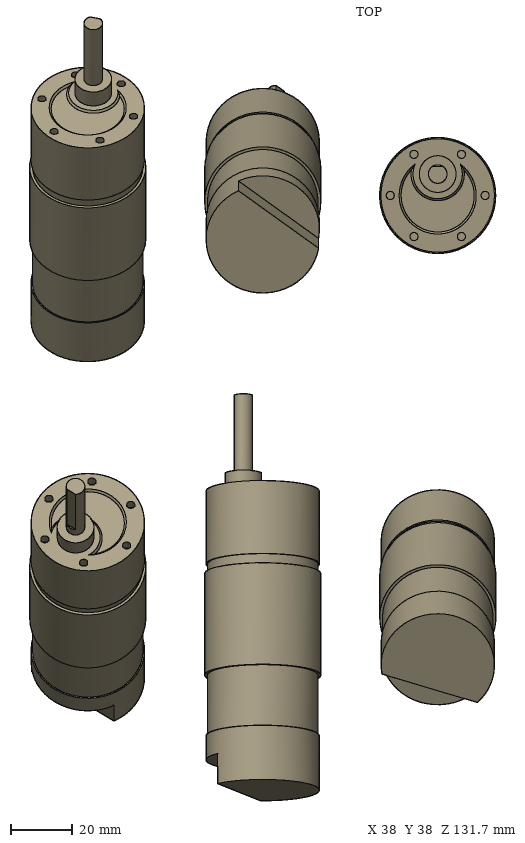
import cadquery as cq

TOTAL_HEIGHT = 131.7

CAP_DIAMETER = 37.0
CAP_HEIGHT = 18.0
MOTOR_DIAMETER = 36.1
MOTOR_HEIGHT = 20.2
SLEEVE_DIAMETER = 38.0
SLEEVE_HEIGHT = 33.7
NECK_DIAMETER = 36.1
NECK_HEIGHT = 3.2
GEARBOX_DIAMETER = 37.0
GEARBOX_HEIGHT = 24.2

SHAFT_OFFSET = 7.0
BOSS_DIAMETER = 12.0
BOSS_HEIGHT = 6.5
SHAFT_DIAMETER = 6.0
FLAT_DISTANCE = 2.5
FLAT_START = 3.5

RECESS_DIAMETER = 25.2
RECESS_DEPTH = 0.7
PAD_DIAMETER = 16.1
WALL_RUN = 0.7

HOLE_COUNT = 6
HOLE_DIAMETER = 2.6
HOLE_DEPTH = 4.0
HOLE_CIRCLE_DIAMETER = 31.0

STEP_DISTANCE = 8.5
STEP_HEIGHT = 10.0

FACE_Z = CAP_HEIGHT + MOTOR_HEIGHT + SLEEVE_HEIGHT + NECK_HEIGHT + GEARBOX_HEIGHT
BOSS_TOP_Z = FACE_Z + BOSS_HEIGHT


def cylinder(diameter, height, base_z, center_y=0):
    return cq.Workplane("XY", origin=(0, center_y, base_z)).circle(diameter / 2).extrude(height)


def frustum(bottom_diameter, top_diameter, height, base_z, center_y=0):
    return (
        cq.Workplane("XY", origin=(0, center_y, base_z))
        .circle(bottom_diameter / 2)
        .workplane(offset=height)
        .circle(top_diameter / 2)
        .loft()
    )


def make_body():
    sections = [
        (CAP_DIAMETER, CAP_HEIGHT),
        (MOTOR_DIAMETER, MOTOR_HEIGHT),
        (SLEEVE_DIAMETER, SLEEVE_HEIGHT),
        (NECK_DIAMETER, NECK_HEIGHT),
        (GEARBOX_DIAMETER, GEARBOX_HEIGHT),
    ]
    diameter, height = sections[0]
    body = cylinder(diameter, height, 0)
    base_z = height
    for diameter, height in sections[1:]:
        body = body.union(cylinder(diameter, height, base_z))
        base_z += height
    return body


def make_cap_step():
    return cq.Workplane("XY", origin=(0, STEP_DISTANCE, 0)).box(
        CAP_DIAMETER, CAP_DIAMETER, STEP_HEIGHT, centered=(True, False, False)
    )


def make_recess():
    floor_z = FACE_Z - RECESS_DEPTH
    bowl = frustum(RECESS_DIAMETER - 2 * WALL_RUN, RECESS_DIAMETER, RECESS_DEPTH, floor_z)
    pad = frustum(PAD_DIAMETER + 2 * WALL_RUN, PAD_DIAMETER, RECESS_DEPTH, floor_z, SHAFT_OFFSET)
    return bowl.cut(pad)


def make_screw_holes():
    return (
        cq.Workplane("XY", origin=(0, 0, FACE_Z - HOLE_DEPTH))
        .polarArray(HOLE_CIRCLE_DIAMETER / 2, 0, 360, HOLE_COUNT)
        .circle(HOLE_DIAMETER / 2)
        .extrude(HOLE_DEPTH)
    )


def make_output_shaft():
    boss = cylinder(BOSS_DIAMETER, BOSS_HEIGHT, FACE_Z, SHAFT_OFFSET)
    shaft_length = TOTAL_HEIGHT - BOSS_TOP_Z
    shaft = cylinder(SHAFT_DIAMETER, shaft_length, BOSS_TOP_Z, SHAFT_OFFSET)
    flat_origin = (0, SHAFT_OFFSET + FLAT_DISTANCE, BOSS_TOP_Z + FLAT_START)
    flat = cq.Workplane("XY", origin=flat_origin).box(
        SHAFT_DIAMETER, SHAFT_DIAMETER, shaft_length - FLAT_START, centered=(True, False, False)
    )
    return boss.union(shaft.cut(flat))


result = (
    make_body()
    .cut(make_cap_step())
    .cut(make_recess())
    .cut(make_screw_holes())
    .union(make_output_shaft())
)